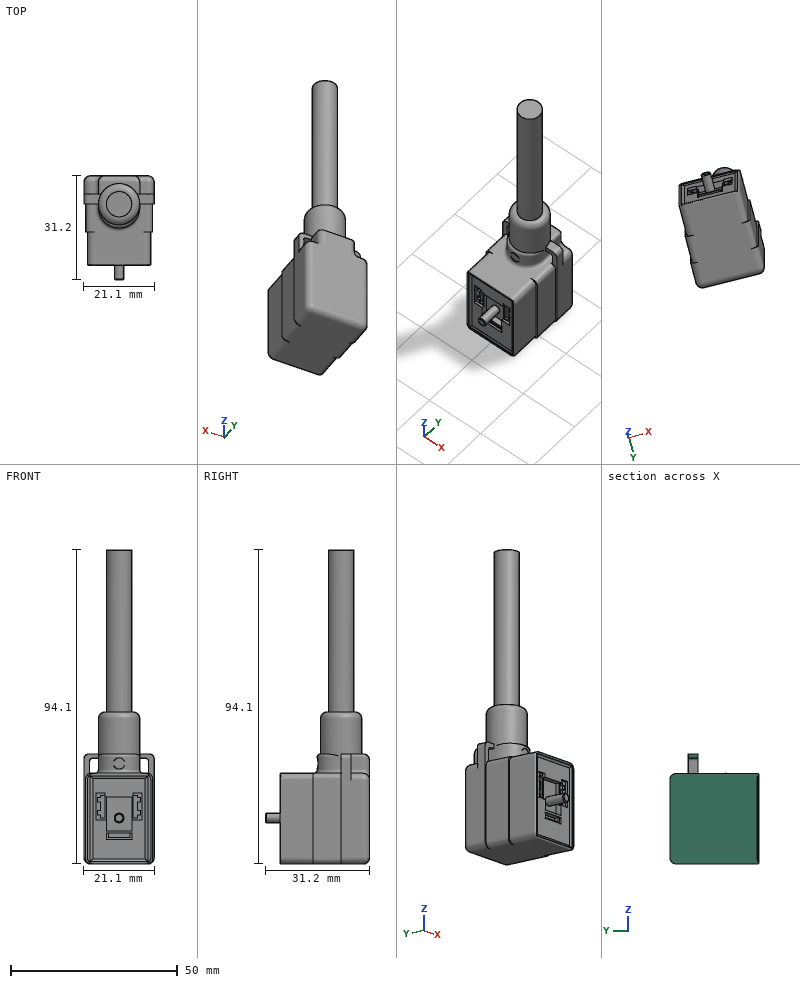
import cadquery as cq
tolerance = 0.01


housing_height = 27.27
rear_face_y = 8.55
flange_rear_y = 3.0
flange_front_y = 0.0
step_y = -8.4
rim_y = -18.3
rear_width = 21.1
middle_width = 20.1
front_width = 19.0
rear_round = 2.1
rear_edge_round = 2.0
middle_round = 1.7
front_round = 2.0
front_edge_round = 0.4

loop_top_z = 33.1
loop_corner_round = 1.6
window_width = 17.6
window_top_z = 31.7
window_corner_round = 0.8

collar_width = 12.4
collar_arc_y = -1.0
collar_top_round = 1.0
collar_foot_round = 1.1
collar_dimple_diameter = 3.4
collar_dimple_z = 30.2
collar_dimple_depth = 0.2

relief_diameter = 12.4
relief_top_z = 45.65
relief_top_round = 2.0
cable_diameter = 7.6
cable_top_z = 94.1

rim_thickness = 0.8
rim_slope_side = 0.9
rim_slope_end = 0.75
lip_depth = 0.3
slope_depth = 0.3
face_y = rim_y + lip_depth + slope_depth

pocket_width = 7.6
pocket_bottom_z = 10.0
pocket_top_z = 20.2
pocket_depth = 1.9
pin_diameter = 2.9
pin_z = 13.85
pin_tip_y = -22.65
pin_tip_chamfer = 0.3

slot_inner_x = 4.2
slot_outer_x = 6.9
slot_bottom_z = 13.3
slot_top_z = 21.3
slot_depth = 0.8
cavity_outer_x = 5.5
cavity_bottom_z = 13.8
cavity_top_z = 20.65
cavity_depth = 1.5
notch_outer_x = 6.4
notch_height = 1.4
notch_center_heights = (15.45, 19.35)

lower_slot_bottom_z = 7.4
lower_slot_top_z = 9.3
lower_slot_depth = 0.7
lower_slot_step = 0.6
lower_slot_inner_depth = 2.0


def block(x_range, y_range, z_range):
    """Box between the given limits."""
    (x0, x1), (y0, y1), (z0, z1) = x_range, y_range, z_range
    return cq.Workplane("XY").box(x1 - x0, y1 - y0, z1 - z0, centered=False).translate((x0, y0, z0))


def centered_block(width, y_range, z_range):
    """Box centered on X."""
    return block((-width / 2, width / 2), y_range, z_range)


def sunk_block(x_range, z_range, depth):
    """Cutter reaching the given depth below the contact face."""
    return block(x_range, (rim_y, face_y + depth), z_range)


def centered_sunk_block(width, z_range, depth):
    """Contact face cutter centered on X."""
    return sunk_block((-width / 2, width / 2), z_range, depth)


def make_collar():
    """U-shaped collar: round toward the contact face, flush with the rear face."""
    half = collar_width / 2
    collar = (
        cq.Workplane("XY")
        .moveTo(-half, rear_face_y)
        .lineTo(-half, collar_arc_y)
        .threePointArc((0, collar_arc_y - half), (half, collar_arc_y))
        .lineTo(half, rear_face_y)
        .close()
        .extrude(loop_top_z)
    )
    return collar


def is_collar_foot(edge):
    """True for the edges where the collar rises from the housing top, apart from the rear face."""
    center = edge.Center()
    at_top = abs(center.z - housing_height) < tolerance
    beside_collar = abs(center.x) < collar_width / 2 + tolerance
    between_ends = step_y + tolerance < center.y < rear_face_y - tolerance
    return at_top and beside_collar and between_ends


def make_shell():
    """Rear and middle sections with the collar grown out of them."""
    rear = centered_block(rear_width, (flange_front_y, rear_face_y), (0, housing_height))
    rear = rear.edges("|Y").fillet(rear_round)
    middle = centered_block(middle_width, (step_y, flange_front_y), (0, housing_height))
    middle = middle.edges("|Y").fillet(middle_round)
    shell = rear.union(middle).union(make_collar())
    foot_edges = [edge for edge in shell.edges().vals() if is_collar_foot(edge)]
    shell = shell.newObject(foot_edges).fillet(collar_foot_round)
    shell = shell.faces(">Z").edges("not >Y").fillet(collar_top_round)
    return shell.faces(">Y").edges().fillet(rear_edge_round)


def make_front_section():
    """Narrower front section with a softened edge around the contact face."""
    front = centered_block(front_width, (rim_y, step_y), (0, housing_height))
    front = front.edges("|Y").fillet(front_round)
    return front.faces("<Y").edges().fillet(front_edge_round)


def make_flange_loops():
    """Flange plate above the housing, opened by a window on each side of the collar."""
    y_range = (flange_front_y, flange_rear_y)
    plate = centered_block(rear_width, y_range, (housing_height / 2, loop_top_z))
    plate = plate.edges("|Y and >Z").fillet(loop_corner_round)
    window = centered_block(window_width, y_range, (0, window_top_z))
    window = window.edges("|Y and >Z").fillet(window_corner_round)
    return plate.cut(window)


def make_relief_and_cable():
    """Strain relief with a rounded shoulder, and the cable leaving it."""
    relief = cq.Workplane("XY").workplane(offset=housing_height)
    relief = relief.circle(relief_diameter / 2).extrude(relief_top_z - housing_height)
    relief = relief.faces(">Z").edges().fillet(relief_top_round)
    cable = cq.Workplane("XY").workplane(offset=housing_height)
    cable = cable.circle(cable_diameter / 2).extrude(cable_top_z - housing_height)
    return relief.union(cable)


def cylinder_along_y(diameter, z, y_start, y_end):
    """Round bar on the X = 0 plane between two Y positions."""
    profile = cq.Workplane("XZ", origin=(0, y_end, z)).circle(diameter / 2)
    return profile.extrude(y_end - y_start)


def make_collar_dimple():
    """Cutter for the shallow round flat on the front of the collar."""
    collar_front_y = collar_arc_y - collar_width / 2
    return cylinder_along_y(
        collar_dimple_diameter,
        collar_dimple_z,
        collar_front_y - collar_dimple_depth,
        collar_front_y + collar_dimple_depth,
    )


def make_face_recess():
    """Cutter for the contact face: a straight lip at the rim, then sloped walls down to the face."""
    rim_width = front_width - 2 * rim_thickness
    rim_height = housing_height - 2 * rim_thickness
    outline = cq.Workplane("XZ", origin=(0, rim_y, housing_height / 2)).rect(rim_width, rim_height)
    lip = outline.extrude(-lip_depth)
    slope = (
        cq.Workplane("XZ", origin=(0, rim_y + lip_depth, housing_height / 2))
        .rect(rim_width, rim_height)
        .workplane(offset=-slope_depth)
        .rect(rim_width - 2 * rim_slope_side, rim_height - 2 * rim_slope_end)
        .loft(ruled=True)
    )
    return lip.union(slope)


def make_side_slot():
    """Cutter for the slot on the +X side, with its notched cavity."""
    slot = sunk_block((slot_inner_x, slot_outer_x), (slot_bottom_z, slot_top_z), slot_depth)
    cavity = sunk_block((slot_inner_x, cavity_outer_x), (cavity_bottom_z, cavity_top_z), cavity_depth)
    for center_z in notch_center_heights:
        z_range = (center_z - notch_height / 2, center_z + notch_height / 2)
        cavity = cavity.union(sunk_block((slot_inner_x, notch_outer_x), z_range, cavity_depth))
    return slot.union(cavity)


def make_contact_cuts():
    """Cutter for the pocket, the side slots and the stepped lower slot."""
    pocket = centered_sunk_block(pocket_width, (pocket_bottom_z, pocket_top_z), pocket_depth)
    bridge = centered_sunk_block(2 * slot_inner_x, (slot_bottom_z, pocket_top_z), slot_depth)
    side_slot = make_side_slot()
    lower_slot = centered_sunk_block(
        pocket_width, (lower_slot_bottom_z, lower_slot_top_z), lower_slot_depth
    )
    lower_slot_floor = centered_sunk_block(
        pocket_width - 2 * lower_slot_step,
        (lower_slot_bottom_z + lower_slot_step, lower_slot_top_z),
        lower_slot_inner_depth,
    )
    cuts = pocket.union(bridge).union(side_slot).union(side_slot.mirror("YZ"))
    return cuts.union(lower_slot).union(lower_slot_floor)


def make_pin():
    """Contact pin standing on the pocket floor."""
    pin = cylinder_along_y(pin_diameter, pin_z, pin_tip_y, face_y + pocket_depth)
    return pin.faces("<Y").edges().chamfer(pin_tip_chamfer)


body = make_shell().union(make_front_section()).union(make_flange_loops())
body = body.cut(make_collar_dimple())
body = body.union(make_relief_and_cable())
body = body.cut(make_face_recess()).cut(make_contact_cuts())
result = body.union(make_pin())